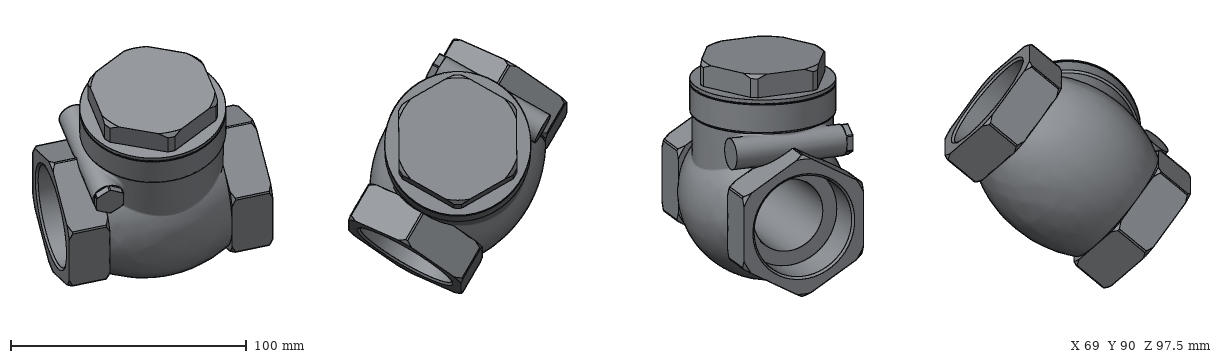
import cadquery as cq
import math

length = 90.0
barrel_diameter = 69.0
barrel_overlap = 8.0

end_hex_flats = 55.0
end_hex_corner_diameter = 63.0
end_hex_width = 18.0
end_hex_chamfer = 1.5

thread_diameter = 44.84
thread_depth = 17.3
thread_mouth_diameter = 46.8
bore_diameter = 32.0

neck_diameter = 60.0
collar_diameter = 62.0
collar_bottom = 38.5
cap_seat = 50.7
groove_width = 0.6
groove_diameter = 60.0
cap_flange_top = 53.0

cap_hex_flats = 50.0
cap_hex_corner_diameter = 56.0
cap_hex_height = 10.0
cap_hex_chamfer = 1.6

pin_boss_diameter = 13.5
pin_y = -27.0
pin_z = 30.2
pin_boss_left = -26.0
pin_boss_right = 24.7
casting_fillet = 1.0
plug_flats = 12.0
plug_corner_diameter = 13.5
plug_height = 3.0


def hexagon_and_cylinder(flats, corner_diameter, height, turn=0):
    """Hexagonal prism along +Z, and the cylinder that its corners are to be turned down to."""
    prism = (
        cq.Workplane("XY")
        .polygon(6, flats / math.cos(math.pi / 6))
        .extrude(height)
        .rotate((0, 0, 0), (0, 0, 1), turn)
    )
    cylinder = cq.Workplane("XY").circle(corner_diameter / 2).extrude(height)
    return prism, cylinder


def make_barrel():
    """Barrel-shaped body turned about the pipe axis; its ends run on inside the end hexagons."""
    visible_half = length / 2 - end_hex_width
    sagitta = (barrel_diameter - end_hex_flats) / 2
    arc_radius = (visible_half**2 + sagitta**2) / (2 * sagitta)
    half_length = visible_half + barrel_overlap
    arc_center = barrel_diameter / 2 - arc_radius
    end_radius = arc_center + math.sqrt(arc_radius**2 - half_length**2)
    return (
        cq.Workplane("XY")
        .moveTo(0, -half_length)
        .lineTo(end_radius, -half_length)
        .threePointArc((barrel_diameter / 2, 0), (end_radius, half_length))
        .lineTo(0, half_length)
        .close()
        .revolve(360, (0, 0, 0), (0, 1, 0))
    )


def make_end_hex(side):
    """Pipe-end hexagon, corners up and down, turned and chamfered at both faces."""
    prism, cylinder = hexagon_and_cylinder(end_hex_flats, end_hex_corner_diameter, end_hex_width, 90)
    hexagon = prism.intersect(cylinder.edges().chamfer(end_hex_chamfer))
    hexagon = hexagon.rotate((0, 0, 0), (1, 0, 0), -90)
    hexagon = hexagon.translate((0, length / 2 - end_hex_width, 0))
    return hexagon if side > 0 else hexagon.mirror("XZ")


def make_pin_boss():
    """Cylindrical boss for the hinge pin, across the front of the neck."""
    return (
        cq.Workplane("YZ", origin=(pin_boss_left, pin_y, pin_z))
        .circle(pin_boss_diameter / 2)
        .extrude(pin_boss_right - pin_boss_left)
    )


def make_plug():
    """Hexagonal head of the plug that closes the hinge-pin hole."""
    prism, cylinder = hexagon_and_cylinder(plug_flats, plug_corner_diameter, plug_height)
    plug = prism.intersect(cylinder).rotate((0, 0, 0), (0, 1, 0), 90)
    return plug.translate((pin_boss_right, pin_y, pin_z))


def make_collar():
    """Collar and cap flange parted by a groove, with a concave blend down to the neck."""
    neck_radius = neck_diameter / 2
    collar_radius = collar_diameter / 2
    blend = collar_radius - neck_radius
    blend_bottom = collar_bottom - blend
    blend_mid = blend * (1 - math.sqrt(0.5))
    collar = (
        cq.Workplane("XZ")
        .moveTo(0, blend_bottom)
        .lineTo(neck_radius, blend_bottom)
        .threePointArc(
            (neck_radius + blend_mid, collar_bottom - blend_mid),
            (collar_radius, collar_bottom),
        )
        .lineTo(collar_radius, cap_flange_top)
        .lineTo(0, cap_flange_top)
        .close()
        .revolve(360, (0, 0, 0), (0, 1, 0))
    )
    groove = (
        cq.Workplane("XY", origin=(0, 0, cap_seat))
        .circle(collar_radius)
        .circle(groove_diameter / 2)
        .extrude(groove_width)
    )
    return collar.cut(groove)


def make_cap_hex():
    """Spanner hexagon on top of the cap, chamfered at its top corners."""
    prism, cylinder = hexagon_and_cylinder(cap_hex_flats, cap_hex_corner_diameter, cap_hex_height)
    hexagon = prism.intersect(cylinder.faces(">Z").edges().chamfer(cap_hex_chamfer))
    return hexagon.translate((0, 0, cap_flange_top))


def make_thread_bore(side):
    """Threaded socket with its conical mouth, opening at one pipe end."""
    mouth_depth = (thread_mouth_diameter - thread_diameter) / 2
    socket = (
        cq.Workplane("XZ", origin=(0, -length / 2, 0))
        .circle(thread_diameter / 2)
        .extrude(-thread_depth)
    )
    mouth = (
        cq.Workplane("XZ", origin=(0, -length / 2, 0))
        .circle(thread_mouth_diameter / 2)
        .workplane(offset=-mouth_depth)
        .circle(thread_diameter / 2)
        .loft()
    )
    socket = socket.union(mouth)
    return socket if side < 0 else socket.mirror("XZ")


def make_casting():
    """Barrel, neck and pin boss with blended joints."""
    neck = cq.Workplane("XY").circle(neck_diameter / 2).extrude(cap_flange_top)
    casting = make_barrel().union(neck).union(make_pin_boss())
    return casting.edges("%BSPLINE").fillet(casting_fillet)


def make_bore():
    """Through bore along the pipe axis."""
    return cq.Workplane("XZ", origin=(0, -length / 2, 0)).circle(bore_diameter / 2).extrude(-length)


pipe_ends = (-1, 1)

body = make_casting().union(make_collar()).union(make_cap_hex()).union(make_plug())
for end in pipe_ends:
    body = body.union(make_end_hex(end))

body = body.cut(make_bore())
for end in pipe_ends:
    body = body.cut(make_thread_bore(end))

result = body